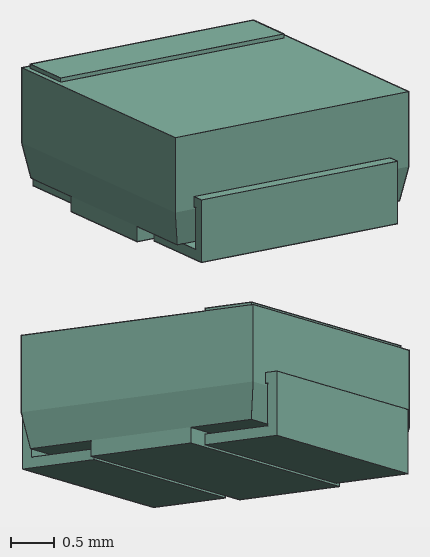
import cadquery as cq

overall_length = 3.51
body_size = 3.2
overall_height = 1.55

housing_bottom = 0.183
taper_top = 0.6
housing_top = 1.502
taper_inset = 0.077

foot_length = 1.38

mark_length = 0.64
mark_margin = 0.07

lead_width = 2.69
lead_height = 0.75
lead_thickness = 0.125
lead_tail_length = 0.99


def make_housing():
    """Square body with a tapered lower part and a support foot."""
    bottom_size = body_size - 2 * taper_inset
    upper = (
        cq.Workplane("XY", origin=(0, 0, taper_top))
        .rect(body_size, body_size)
        .extrude(housing_top - taper_top)
    )
    lower = (
        cq.Workplane("XY", origin=(0, 0, housing_bottom))
        .rect(bottom_size, bottom_size)
        .workplane(offset=taper_top - housing_bottom)
        .rect(body_size, body_size)
        .loft(ruled=True)
    )
    foot = cq.Workplane("XY").rect(foot_length, bottom_size).extrude(housing_bottom)
    return upper.union(lower).union(foot)


def make_mark():
    """Thin polarity bar resting on the housing near its -X edge."""
    mark_center_x = -body_size / 2 + mark_margin + mark_length / 2
    return (
        cq.Workplane("XY", origin=(mark_center_x, 0, housing_top))
        .rect(mark_length, body_size - 2 * mark_margin)
        .extrude(overall_height - housing_top)
    )


def make_lead(side):
    """Lead on the given X side (-1 or +1): tail below, short lip touching the housing above."""
    housing_x = side * body_size / 2
    lip_bottom = lead_height - lead_thickness
    outer_x = side * overall_length / 2
    inner_x = outer_x - side * lead_thickness
    tail_x = outer_x - side * lead_tail_length
    return (
        cq.Workplane("XZ")
        .moveTo(outer_x, 0)
        .lineTo(outer_x, lead_height)
        .lineTo(housing_x, lead_height)
        .lineTo(housing_x, lip_bottom)
        .lineTo(inner_x, lip_bottom)
        .lineTo(inner_x, lead_thickness)
        .lineTo(tail_x, lead_thickness)
        .lineTo(tail_x, 0)
        .close()
        .extrude(lead_width / 2, both=True)
    )


housing = make_housing()
mark = make_mark()
leads = [make_lead(side) for side in (-1, 1)]

result = cq.Compound.makeCompound([housing.val(), mark.val(), *[lead.val() for lead in leads]])